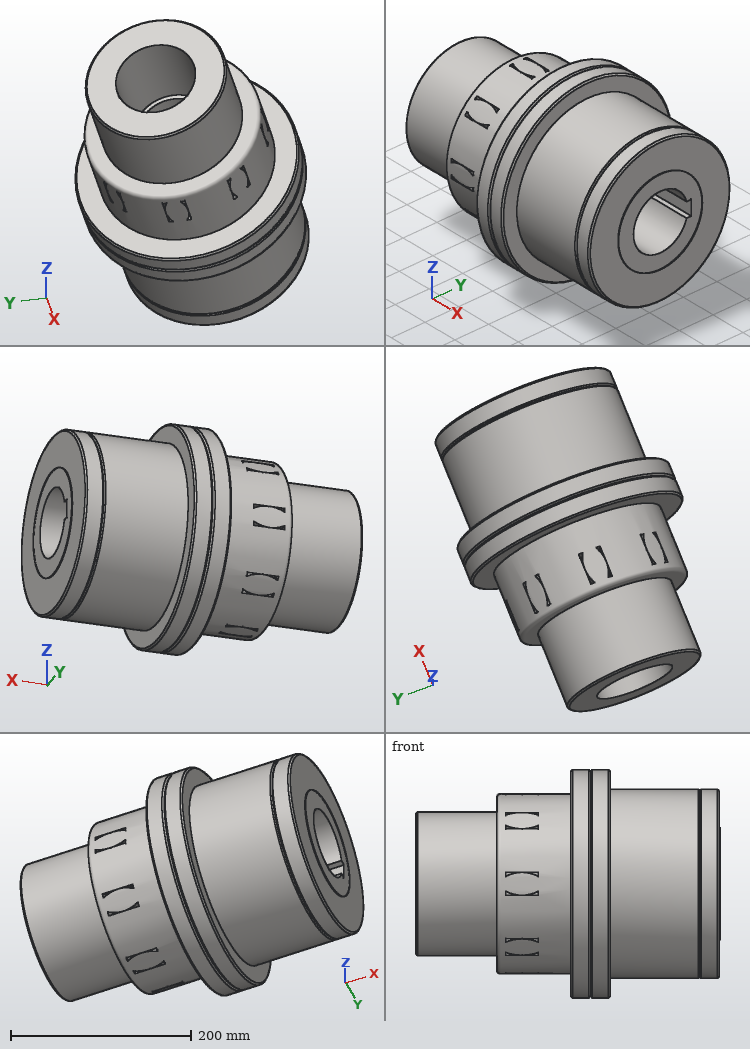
import cadquery as cq


total_length = 338.0

hub_radius = 79.95
hub_length = 90.0
chamfer = 2.0

sleeve_radius = 100.0
sleeve_fillet = 4.5

flange_radius = 126.92
flange_start = 172.0
disc_thickness = 22.0
flange_end = flange_start + 2 * disc_thickness

drum_radius = 105.0
groove_center = 315.0
groove_depth = 1.7
boss_radius = 62.2
boss_height = 1.0
drum_end = total_length - boss_height

wide_bore_radius = 45.12
narrow_bore_radius = 40.05
keyway_width = 21.5
keyway_reach = 45.5

leg_count = 8
leg_start = 99.7
leg_length = 36.5
leg_width = 25.5
leg_end_width = 16.2
gap_depth = 20.3
bore_step = leg_start


def cylinder(start, end, radius):
    """Solid cylinder along X between two stations."""
    return cq.Workplane("YZ", origin=(start, 0, 0)).circle(radius).extrude(end - start)


def chamfered_disc(start, end):
    """One flange disc, chamfered on both rims."""
    return cylinder(start, end, flange_radius).edges().chamfer(chamfer)


def v_groove():
    """Ring of triangular section that cuts the groove into the drum."""
    return (
        cq.Workplane("XY")
        .moveTo(groove_center - groove_depth, drum_radius)
        .lineTo(groove_center, drum_radius - groove_depth)
        .lineTo(groove_center + groove_depth, drum_radius)
        .close()
        .revolve(360, (0, 0, 0), (1, 0, 0))
    )


def leg_gaps():
    """Corner gaps between one barrel-sided leg and the straight jaw walls, on the +Z side."""
    leg_end = leg_start + leg_length
    leg_middle = leg_start + leg_length / 2
    floor = cq.Workplane("XY", origin=(0, 0, sleeve_radius - gap_depth))
    slot = floor.center(leg_middle, 0).rect(leg_length, leg_width).extrude(2 * gap_depth)
    leg = (
        floor.moveTo(leg_start, -leg_end_width / 2)
        .threePointArc((leg_middle, -leg_width / 2), (leg_end, -leg_end_width / 2))
        .lineTo(leg_end, leg_end_width / 2)
        .threePointArc((leg_middle, leg_width / 2), (leg_start, leg_end_width / 2))
        .close()
        .extrude(2 * gap_depth)
    )
    return slot.cut(leg)


hub = cylinder(0, flange_start, hub_radius).faces("<X").edges().chamfer(chamfer)
sleeve = cylinder(hub_length, flange_end, sleeve_radius).faces("<X").edges().fillet(sleeve_fillet)
flange_middle = flange_start + disc_thickness
left_disc = chamfered_disc(flange_start, flange_middle)
right_disc = chamfered_disc(flange_middle, flange_end)
drum = cylinder(flange_middle, drum_end, drum_radius).faces(">X").edges().chamfer(chamfer)
boss = cylinder(flange_end, total_length, boss_radius)
body = hub.union(sleeve).union(left_disc).union(right_disc).union(drum).union(boss)
body = body.cut(v_groove())

for index in range(leg_count):
    angle = index * 360 / leg_count
    body = body.cut(leg_gaps().rotate((0, 0, 0), (1, 0, 0), angle))

body = body.cut(cylinder(0, bore_step, wide_bore_radius))
body = body.cut(cylinder(bore_step, total_length, narrow_bore_radius))
keyway = cq.Workplane("XY").box(
    total_length - bore_step, keyway_reach, keyway_width, centered=(False, False, True)
)
result = body.cut(keyway.translate((bore_step, 0, 0)))